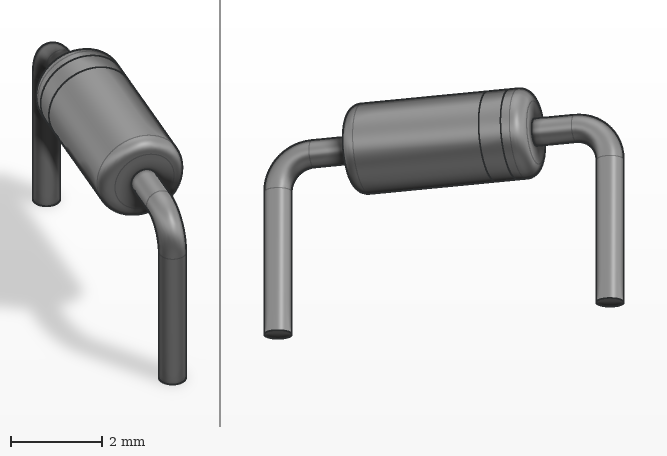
import cadquery as cq

span = 8.22
overall_height = 5.1
barrel_diameter = 2.0
barrel_length = 4.2
edge_radius = 0.305
band_offset = 0.5
band_width = 0.5
lead_diameter = 0.61
bend_radius = 0.8

barrel_start = -barrel_length / 2
barrel_end = barrel_length / 2
band_start = barrel_start + band_offset
band_end = band_start + band_width
leg_x = (span - lead_diameter) / 2

lead_drop = overall_height - barrel_diameter / 2


def make_cylinder(x_start, x_end):
    """Full-diameter barrel section between two X positions."""
    return (
        cq.Workplane("YZ", origin=(x_start, 0, 0))
        .circle(barrel_diameter / 2)
        .extrude(x_end - x_start)
    )


def make_end_cap():
    """Short barrel section outside the band, rounded at its free end."""
    return make_cylinder(barrel_start, band_start).faces("<X").edges().fillet(edge_radius)


def make_band():
    """Polarity band, flush with the barrel sections on either side."""
    return make_cylinder(band_start, band_end)


def make_main_barrel():
    """Long barrel section, rounded at its free end."""
    return make_cylinder(band_end, barrel_end).faces(">X").edges().fillet(edge_radius)


def make_lead(side):
    """Wire leaving a barrel end face and bending down; side is -1 or +1 along X."""
    path = (
        cq.Workplane("XZ")
        .moveTo(side * barrel_end, 0)
        .lineTo(side * (leg_x - bend_radius), 0)
        .tangentArcPoint((side * leg_x, -bend_radius), relative=False)
        .lineTo(side * leg_x, -lead_drop)
    )
    return (
        cq.Workplane("YZ", origin=(side * barrel_end, 0, 0))
        .circle(lead_diameter / 2)
        .sweep(path)
    )


end_cap = make_end_cap()
band = make_band()
main_barrel = make_main_barrel()
leads = [make_lead(side) for side in (-1, 1)]

result = cq.Compound.makeCompound(
    [end_cap.val(), band.val(), main_barrel.val(), *[lead.val() for lead in leads]]
)